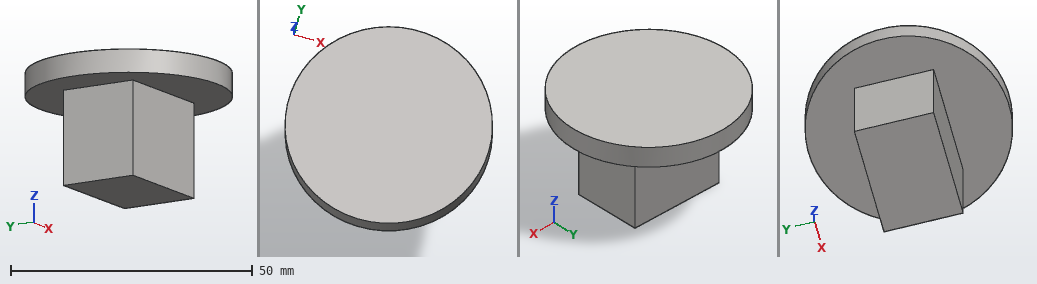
import cadquery as cq

head_diameter = 43.0
head_thickness = 5.0

total_height = 25.3
stem_length_x = 24.0
stem_width_y = 17.0
stem_height = total_height - head_thickness

stem = cq.Workplane("XY").rect(stem_length_x, stem_width_y).extrude(stem_height)
head = cq.Workplane("XY").workplane(offset=stem_height).circle(head_diameter / 2).extrude(head_thickness)

result = stem.union(head)